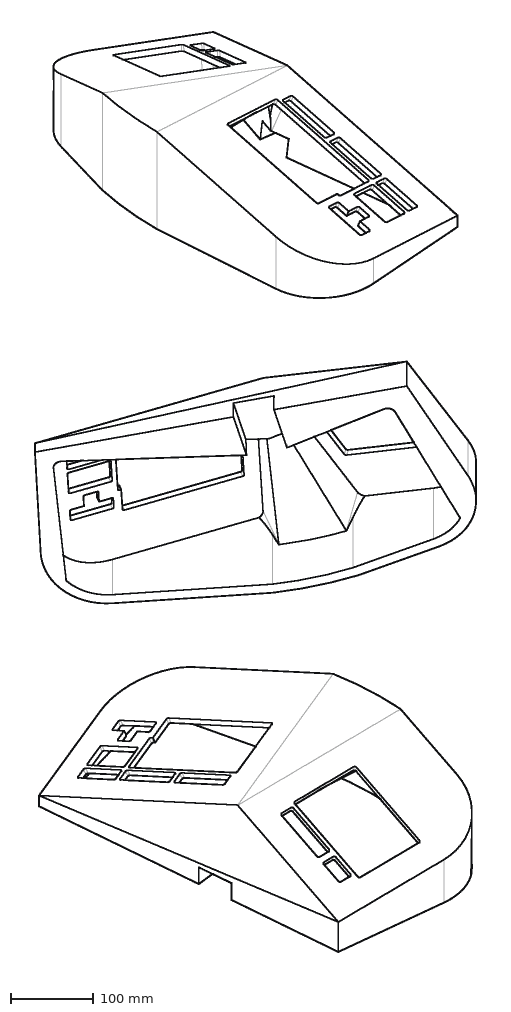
import cadquery as cq
import math

apex_height = 111.0
panel_depth = 250.0
left_width = 202.5
right_width = 294.5
corner_radius = 88.5
wedge_pitch = 7.3
wedge_half_angle = 12.4
fold_angle = 17.3
body_turn = -0.4
front_bulge = 2.95

panel_thickness = 8.0
wall = 14.0
cavity_radius = 10.0
passage_ceiling = 72.5
passage_back = -26.5
passage_half_width = 53.5
slot_left = -23.0
slot_right = 27.5
slot_height = 26.0
slot_front = -32.0
drop = 2 * apex_height

window_radius = 2.0
bezel_back = 36.0
bezel_front = 54.0
left_long_bezel = (39.0, 115.0)
left_short_bezel = (124.0, 158.0)
right_inner_bezel = (40.5, 115.0)
right_outer_bezel = (122.0, 195.5)
screen_inner = 35.0
screen_back = 59.5
screen_front = 154.0
left_screen_outer = 166.0
right_screen_outer = 191.0
screen_notch_outer = 195.5
screen_notch_front = 116.5
keypad_inner = 202.0
keypad_outer = 258.0
keypad_back = 60.0
keypad_front = 97.0
tee_stem_inner = 220.0
tee_stem_outer = 239.5
tee_back = 108.0
tee_bar_back = 127.0
tee_front = 145.5

LEFT = -1
RIGHT = 1
apex = cq.Vector(0, 0, apex_height)


def panel_plane(side):
    """Plane of a panel, from the apex: local X along the back edge, local Y back along the crease."""
    turned = cq.Plane(origin=apex.toTuple()).rotated((0, 0, body_turn))
    pitched = turned.rotated((-wedge_pitch, 0, 0))
    at_crease = pitched.rotated((0, 0, side * wedge_half_angle))
    return at_crease.rotated((0, side * fold_angle, 0))


planes = {LEFT: panel_plane(LEFT), RIGHT: panel_plane(RIGHT)}
widths = {LEFT: left_width, RIGHT: right_width}


def panel_face(side, inset=0.0):
    """Panel with a rounded outer front corner, inset from its outer and front edges."""
    radius = corner_radius - inset
    outer = side * (widths[side] - inset)
    front = inset - panel_depth
    mid_arc = radius * (1 - math.sqrt(0.5))
    outline = (
        cq.Workplane(planes[side])
        .moveTo(0, 0)
        .lineTo(outer, 0)
        .lineTo(outer, front + radius)
        .threePointArc((outer - side * mid_arc, front + mid_arc), (outer - side * radius, front))
        .lineTo(0, front)
        .close()
    )
    return cq.Face.makeFromWires(outline.val())


def wedge_face(inset=0.0):
    """Triangle between the two creases, with a bowed front edge."""
    left_front = planes[LEFT].toWorldCoords((0, inset - panel_depth))
    right_front = planes[RIGHT].toWorldCoords((0, inset - panel_depth))
    chord_middle = (left_front + right_front) * 0.5
    bow = chord_middle + (chord_middle - apex).normalized() * front_bulge
    edges = [
        cq.Edge.makeLine(apex, left_front),
        cq.Edge.makeThreePointArc(left_front, bow, right_front),
        cq.Edge.makeLine(right_front, apex),
    ]
    return cq.Face.makeFromWires(cq.Wire.assembleEdges(edges))


def back_face():
    """Sloping triangle behind the two panels."""
    left_back = planes[LEFT].toWorldCoords((-left_width, 0))
    right_back = planes[RIGHT].toWorldCoords((right_width, 0))
    return cq.Face.makeFromWires(cq.Wire.makePolygon([apex, right_back, left_back], close=True))


def column(face):
    return cq.Workplane(cq.Solid.extrudeLinear(face, cq.Vector(0, 0, -drop)))


def columns(faces):
    """Faces extended straight down and joined."""
    joined = column(faces[0])
    for face in faces[1:]:
        joined = joined.union(column(face))
    return joined


def block(x_range, y_range, z_range):
    sizes = [high - low for low, high in (x_range, y_range, z_range)]
    corner = (x_range[0], y_range[0], z_range[0])
    return cq.Workplane().box(*sizes, centered=False).translate(corner)


def rounded_block(side, across, along, depths, radius):
    """Block with rounded corners, square to a panel.

    The ranges run across from the crease, forward from the back edge and down from the surface.
    """
    sizes = [high - low for low, high in (across, along)]
    plane = planes[side]
    return (
        cq.Workplane(plane)
        .workplane(offset=-depths[0])
        .center(side * sum(across) / 2, -sum(along) / 2)
        .rect(*sizes)
        .extrude(depths[0] - depths[1])
        .edges(cq.selectors.ParallelDirSelector(plane.zDir))
        .fillet(radius)
    )


def cavity(side):
    """Space under a panel, square to the panel and kept inside the upright outer walls."""
    across = (wall, widths[side] - wall)
    along = (wall, panel_depth - wall)
    square = rounded_block(side, across, along, (panel_thickness, drop), cavity_radius)
    return square.intersect(room)


def window(side, inner, outer, back, front):
    return rounded_block(side, (inner, outer), (back, front), (0, 2 * panel_thickness), window_radius)


body = columns([panel_face(LEFT), panel_face(RIGHT), wedge_face(), back_face()])
body_span = left_width + right_width
reach = (-body_span, body_span)
body = body.cut(block(reach, reach, (-drop, 0)))

room = columns([panel_face(LEFT, wall), panel_face(RIGHT, wall), wedge_face(wall)])
passage = block(
    (-passage_half_width, passage_half_width), (-panel_depth, passage_back), (0, passage_ceiling)
)
body = body.cut(cavity(LEFT)).cut(cavity(RIGHT)).cut(passage.intersect(room))
body = body.cut(block((slot_left, slot_right), (slot_front, panel_depth), (0, slot_height)))

left_windows = [
    (*left_long_bezel, bezel_back, bezel_front),
    (*left_short_bezel, bezel_back, bezel_front),
    (screen_inner, left_screen_outer, screen_back, screen_front),
]
right_windows = [
    (*right_inner_bezel, bezel_back, bezel_front),
    (*right_outer_bezel, bezel_back, bezel_front),
    (keypad_inner, keypad_outer, bezel_back, bezel_front),
    (keypad_inner, keypad_outer, keypad_back, keypad_front),
    (screen_inner, right_screen_outer, screen_back, screen_front),
    (screen_inner, screen_notch_outer, screen_back, screen_notch_front),
    (tee_stem_inner, tee_stem_outer, tee_back, tee_front),
    (keypad_inner, keypad_outer, tee_bar_back, tee_front),
]
for side, spans in ((LEFT, left_windows), (RIGHT, right_windows)):
    for span in spans:
        body = body.cut(window(side, *span))

result = body